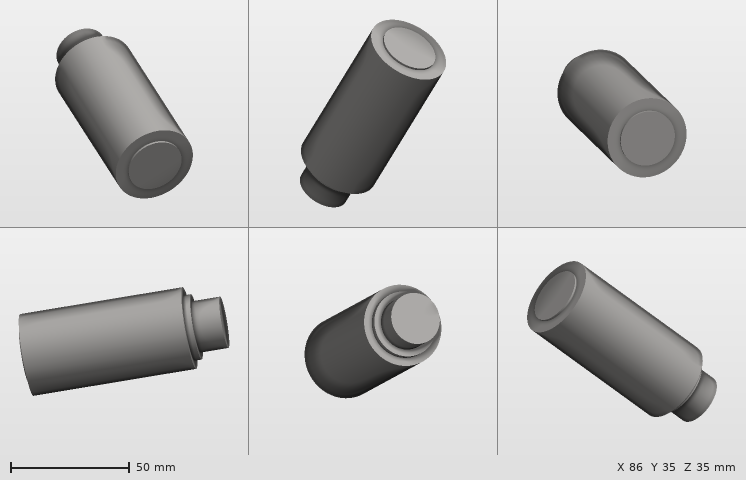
import cadquery as cq

SPIGOT = (22.0, 12.0)
COLLAR = (28.0, 3.0)
BODY = (35.0, 70.0)
END_BOSS = (24.0, 1.0)


def stepped_shaft(sections):
    """Revolve a stepped half-profile about the X axis, starting at X = 0."""
    profile = cq.Workplane("XZ").moveTo(0, 0)
    end_x = 0.0
    for diameter, length in sections:
        radius = diameter / 2
        profile = profile.lineTo(end_x, radius)
        end_x += length
        profile = profile.lineTo(end_x, radius)
    profile = profile.lineTo(end_x, 0).close()
    return profile.revolve(360, (0, 0, 0), (1, 0, 0))


result = stepped_shaft([SPIGOT, COLLAR, BODY, END_BOSS])